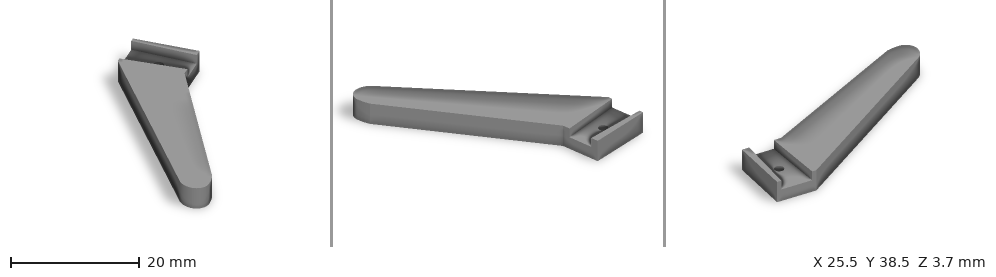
import math

import cadquery as cq

length = 38.5
width = 25.5
thickness = 3.7

head_width = 11.0
head_length = 7.0
hole_diameter = 1.6

channel_center_y = -head_length / 2
channel_width_left = 5.5
channel_width_right = 4.4
channel_floor_z = 2.1

left_side_angle = math.radians(34.7)
right_side_angle = math.radians(27.6)

small_tip_radius = 2.1
right_side_end_y = -34.15


def point_on_circle(center, radius, angle):
    """Point of a circle at an angle measured from +X."""
    return (center[0] + radius * math.cos(angle), center[1] + radius * math.sin(angle))


def make_body():
    """Head and arm extruded from one outline."""
    small_center = (width - small_tip_radius, small_tip_radius - length)
    lowest_point = (small_center[0], -length)
    rightmost_point = (width, small_center[1])
    right_side_run = -head_length - right_side_end_y
    right_side_end = (head_width + right_side_run * math.tan(right_side_angle), right_side_end_y)

    normal_x = math.cos(left_side_angle)
    normal_y = math.sin(left_side_angle)
    lowest_point_offset = normal_x * lowest_point[0] + normal_y * (lowest_point[1] + head_length)
    large_tip_radius = lowest_point_offset / (1 - normal_y)
    large_center = (lowest_point[0], large_tip_radius - length)
    left_side_end = point_on_circle(large_center, large_tip_radius, left_side_angle + math.pi)

    return (
        cq.Workplane("XY")
        .moveTo(0, 0)
        .lineTo(0, -head_length)
        .lineTo(*left_side_end)
        .tangentArcPoint(lowest_point, relative=False)
        .tangentArcPoint(rightmost_point, relative=False)
        .tangentArcPoint(right_side_end, relative=False)
        .lineTo(head_width, -head_length)
        .lineTo(head_width, 0)
        .close()
        .extrude(thickness)
    )


def make_channel():
    """Tapered cutter for the open channel across the head."""
    half_left = channel_width_left / 2
    half_right = channel_width_right / 2
    return (
        cq.Workplane("XY", origin=(0, channel_center_y, channel_floor_z))
        .moveTo(0, half_left)
        .lineTo(0, -half_left)
        .lineTo(head_width, -half_right)
        .lineTo(head_width, half_right)
        .close()
        .extrude(thickness - channel_floor_z)
    )


def make_hole():
    """Cutter for the through hole in the channel floor."""
    return (
        cq.Workplane("XY", origin=(head_width / 2, channel_center_y, 0))
        .circle(hole_diameter / 2)
        .extrude(thickness)
    )


result = make_body().cut(make_channel()).cut(make_hole())